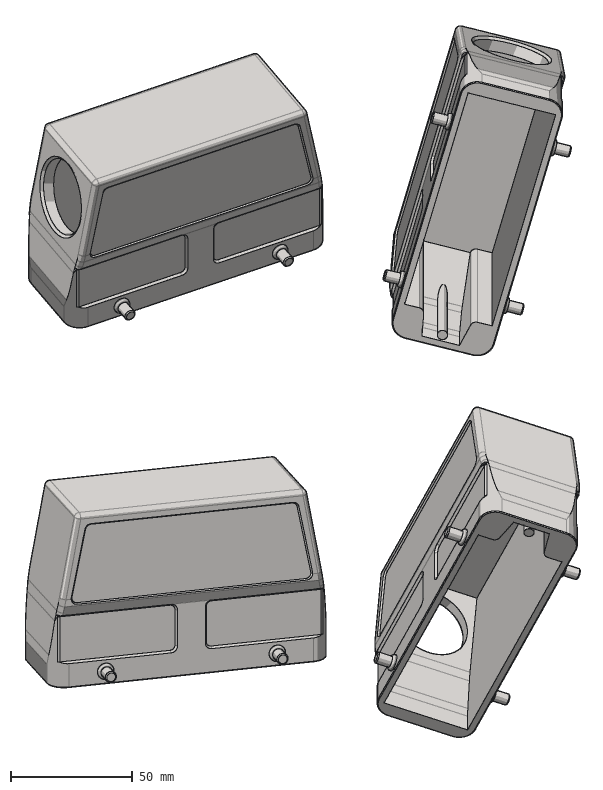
import cadquery as cq
import math

HEIGHT = 75.85
BASE_LENGTH = 120.1
BASE_WIDTH = 43.4
UPPER_WIDTH = 45.0
PIN_SPAN = 59.14

FOOT_HEIGHT = 11.0
BEND_HEIGHT = 31.4
BEND_HALF_LENGTH = 57.95
TOP_HALF_LENGTH = 49.75
FOOT_BLEND_RADIUS = 45.0
BEND_BLEND_RADIUS = 60.0

SHOULDER_BOTTOM = 31.9
SHOULDER_TOP = 37.4
SHOULDER_BLEND_RADIUS = 22.0

SKIRT_CORNER_RADIUS = 7.3
UPPER_EDGE_RADIUS = 2.2
BASE_CHAMFER = 0.4

WALL = 3.0
ENTRY_WALL = 6.0

ENTRY_DIAMETER = 32.0
ENTRY_CHAMFER = 1.1
ENTRY_HEIGHT = 53.9

PANEL_DEPTH = (UPPER_WIDTH - BASE_WIDTH) / 2
PANEL_TOP = 71.2
PANEL_BOTTOM = 36.4
PANEL_TOP_HALF_LENGTH = 45.7
PANEL_BOTTOM_HALF_LENGTH = 52.7
PANEL_CORNER_RADIUS = 2.8
RECESS_DRAFT = 35.0

POCKET_DEPTH = 1.1
POCKET_BOTTOM = 10.6
POCKET_INNER_END = 6.0
POCKET_FLOOR_END = 56.2
POCKET_OUTER_END = 57.3
POCKET_CORNER_RADIUS = 2.8

PIN_DIAMETER = 4.8
PIN_CHAMFER = 0.5
PIN_HALF_SPACING = 37.0
PIN_HEIGHT = 5.65
COLLAR_DIAMETER = 7.0
COLLAR_HALF_SPAN = 23.2
COLLAR_ROUNDING = 1.0

PILLAR_FRONT = 45.0
PILLAR_HALF_GAP_FRONT = 10.4
PILLAR_HALF_GAP_REAR = 7.4
PILLAR_ROUNDING = 2.5
POST_RADIUS = 2.1
POST_TIP_HEIGHT = 46.0

HALF_LENGTH = BASE_LENGTH / 2
END_SLOPE = (BEND_HALF_LENGTH - TOP_HALF_LENGTH) / (HEIGHT - BEND_HEIGHT)


def blended_outline(plane, corners):
    """Closed outline through (u, v, blend radius) corners; a zero radius keeps the corner sharp."""
    points = [cq.Vector(u, v) for u, v, _ in corners]
    sketch = None
    for index, (_, _, radius) in enumerate(corners):
        corner = points[index]
        to_previous = (points[index - 1] - corner).normalized()
        to_next = (points[(index + 1) % len(points)] - corner).normalized()
        half_angle = to_previous.getAngle(to_next) / 2
        start = corner + to_previous * (radius / math.tan(half_angle))
        sketch = sketch.lineTo(start.x, start.y) if sketch else plane.moveTo(start.x, start.y)
        if radius > 0:
            end = corner + to_next * (radius / math.tan(half_angle))
            inward = (to_previous + to_next).normalized()
            middle = corner + inward * (radius / math.sin(half_angle) - radius)
            sketch = sketch.threePointArc((middle.x, middle.y), (end.x, end.y))
    return sketch.close()


def upper_half_length(z):
    """Distance from the middle to the outside of the leaning upper end wall."""
    return TOP_HALF_LENGTH + END_SLOPE * (HEIGHT - z)


def end_profile_prism(front_wall, rear_wall, top_wall, width):
    """Prism along X with the side outline of the hood, moved inward by the given walls."""
    top = HEIGHT - top_wall
    top_half = upper_half_length(top)
    corners = [
        (-HALF_LENGTH + front_wall, 0, 0),
        (HALF_LENGTH - rear_wall, 0, 0),
        (HALF_LENGTH - rear_wall, FOOT_HEIGHT, FOOT_BLEND_RADIUS),
        (BEND_HALF_LENGTH - rear_wall, BEND_HEIGHT, BEND_BLEND_RADIUS),
        (top_half - rear_wall, top, 0),
        (-top_half + front_wall, top, 0),
        (-BEND_HALF_LENGTH + front_wall, BEND_HEIGHT, BEND_BLEND_RADIUS),
        (-HALF_LENGTH + front_wall, FOOT_HEIGHT, FOOT_BLEND_RADIUS),
    ]
    plane = cq.Workplane("YZ", origin=(-width / 2, 0, 0))
    return blended_outline(plane, corners).extrude(width)


def make_skirt():
    """Lower body: rounded rectangle trimmed by the end profile."""
    column = (
        cq.Workplane("XY")
        .rect(BASE_WIDTH, BASE_LENGTH)
        .extrude(SHOULDER_TOP)
        .edges("|Z")
        .fillet(SKIRT_CORNER_RADIUS)
    )
    skirt = column.intersect(end_profile_prism(0, 0, 0, UPPER_WIDTH))
    return skirt.faces("<Z").edges().chamfer(BASE_CHAMFER)


def make_upper():
    """Upper body: wider than the skirt, tapering in below to meet it."""
    corners = [
        (-BASE_WIDTH / 2, SHOULDER_BOTTOM, 0),
        (BASE_WIDTH / 2, SHOULDER_BOTTOM, 0),
        (UPPER_WIDTH / 2, SHOULDER_TOP, SHOULDER_BLEND_RADIUS),
        (UPPER_WIDTH / 2, HEIGHT, 0),
        (-UPPER_WIDTH / 2, HEIGHT, 0),
        (-UPPER_WIDTH / 2, SHOULDER_TOP, SHOULDER_BLEND_RADIUS),
    ]
    plane = cq.Workplane("XZ", origin=(0, HALF_LENGTH, 0))
    upper = blended_outline(plane, corners).extrude(BASE_LENGTH)
    upper = upper.intersect(end_profile_prism(0, 0, 0, 2 * UPPER_WIDTH))
    corner_edges = upper.edges("not(|X or |Y)")
    top_edges = upper.faces(">Z").edges()
    return corner_edges.add(top_edges).fillet(UPPER_EDGE_RADIUS)


def make_columns():
    """Two corner pillars and a centre post, upright against the +Y end wall."""
    pillar_outside = UPPER_WIDTH / 2 - WALL / 2
    corners = [
        (PILLAR_HALF_GAP_FRONT, PILLAR_FRONT, PILLAR_ROUNDING),
        (pillar_outside, PILLAR_FRONT, 0),
        (pillar_outside, HALF_LENGTH, 0),
        (PILLAR_HALF_GAP_REAR, HALF_LENGTH, 0),
    ]
    pillar = blended_outline(cq.Workplane("XY"), corners).extrude(HEIGHT)
    post_front = upper_half_length(POST_TIP_HEIGHT) - WALL
    post = cq.Workplane("XY").center(0, post_front + POST_RADIUS).circle(POST_RADIUS).extrude(HEIGHT)
    return pillar.union(pillar.mirror("YZ")).union(post)


def make_cavity():
    """Open-bottomed inner space, less the columns standing in it."""
    cavity = end_profile_prism(ENTRY_WALL, WALL, WALL, BASE_WIDTH - 2 * WALL)
    return cavity.cut(make_columns())


def make_cable_entry():
    """Round hole with a chamfered mouth, along the normal of the leaning end wall."""
    mouth_diameter = ENTRY_DIAMETER + 2 * ENTRY_CHAMFER
    plane = cq.Plane(
        origin=(0, -upper_half_length(ENTRY_HEIGHT), ENTRY_HEIGHT),
        xDir=(1, 0, 0),
        normal=(0, 1, -END_SLOPE),
    )
    bore = cq.Workplane(plane).circle(ENTRY_DIAMETER / 2).extrude(2 * ENTRY_WALL)
    mouth = (
        cq.Workplane(plane)
        .circle(mouth_diameter / 2)
        .workplane(offset=ENTRY_CHAMFER)
        .circle(ENTRY_DIAMETER / 2)
        .loft()
    )
    return bore.union(mouth)


def drafted_recess(corners, face_x, depth):
    """Cutter sunk from X = face_x toward the middle, narrowing with depth."""
    plane = cq.Workplane("YZ", origin=(face_x, 0, 0))
    return blended_outline(plane, corners).extrude(-depth, taper=RECESS_DRAFT)


def make_side_panel():
    """Cutter for the large recess on the +X side of the upper body."""
    corners = [
        (-PANEL_BOTTOM_HALF_LENGTH, PANEL_BOTTOM, PANEL_CORNER_RADIUS),
        (PANEL_BOTTOM_HALF_LENGTH, PANEL_BOTTOM, PANEL_CORNER_RADIUS),
        (PANEL_TOP_HALF_LENGTH, PANEL_TOP, PANEL_CORNER_RADIUS),
        (-PANEL_TOP_HALF_LENGTH, PANEL_TOP, PANEL_CORNER_RADIUS),
    ]
    return drafted_recess(corners, UPPER_WIDTH / 2, PANEL_DEPTH)


def make_skirt_pocket():
    """Cutter for the recess on the +X side of the skirt, open at the +Y end."""
    far_end = HALF_LENGTH + POCKET_CORNER_RADIUS
    corners = [
        (POCKET_INNER_END, POCKET_BOTTOM, POCKET_CORNER_RADIUS),
        (far_end, POCKET_BOTTOM, 0),
        (far_end, SHOULDER_BOTTOM, 0),
        (POCKET_INNER_END, SHOULDER_BOTTOM, POCKET_CORNER_RADIUS),
    ]
    recess = drafted_recess(corners, BASE_WIDTH / 2, POCKET_DEPTH)

    floor_x = BASE_WIDTH / 2 - POCKET_DEPTH
    corner_center_x = BASE_WIDTH / 2 - SKIRT_CORNER_RADIUS
    corner_center_y = HALF_LENGTH - SKIRT_CORNER_RADIUS
    corner_rise = math.sqrt(SKIRT_CORNER_RADIUS**2 - (POCKET_OUTER_END - corner_center_y) ** 2)
    draft_inset = POCKET_DEPTH * math.tan(math.radians(RECESS_DRAFT))
    bevel = (
        cq.Workplane("XY", origin=(0, 0, POCKET_BOTTOM + draft_inset))
        .polyline([
            (floor_x, POCKET_FLOOR_END),
            (BASE_WIDTH / 2, POCKET_FLOOR_END),
            (BASE_WIDTH / 2, POCKET_OUTER_END),
            (corner_center_x + corner_rise, POCKET_OUTER_END),
        ])
        .close()
        .extrude(SHOULDER_BOTTOM - POCKET_BOTTOM - 2 * draft_inset)
    )
    return recess.union(bevel)


def make_pin():
    """Locking pin with a rounded collar, pointing to +X."""
    root = BASE_WIDTH / 2 - WALL / 2
    collar = (
        cq.Workplane("YZ", origin=(root, PIN_HALF_SPACING, PIN_HEIGHT))
        .circle(COLLAR_DIAMETER / 2)
        .extrude(COLLAR_HALF_SPAN - root)
        .faces(">X")
        .edges()
        .fillet(COLLAR_ROUNDING)
    )
    shank = (
        cq.Workplane("YZ", origin=(root, PIN_HALF_SPACING, PIN_HEIGHT))
        .circle(PIN_DIAMETER / 2)
        .extrude(PIN_SPAN / 2 - root)
        .faces(">X")
        .chamfer(PIN_CHAMFER)
    )
    return collar.union(shank)


def on_both_sides(feature):
    """The feature and its mirror image on the -X side."""
    return feature.union(feature.mirror("YZ"))


def on_all_quarters(feature):
    """The feature mirrored to both sides and both ends."""
    both_ends = feature.union(feature.mirror("XZ"))
    return on_both_sides(both_ends)


hood = make_skirt().union(make_upper())
hood = hood.cut(on_both_sides(make_side_panel()))
hood = hood.cut(on_all_quarters(make_skirt_pocket()))
hood = hood.cut(make_cavity())
hood = hood.cut(make_cable_entry())
result = hood.union(on_all_quarters(make_pin()))